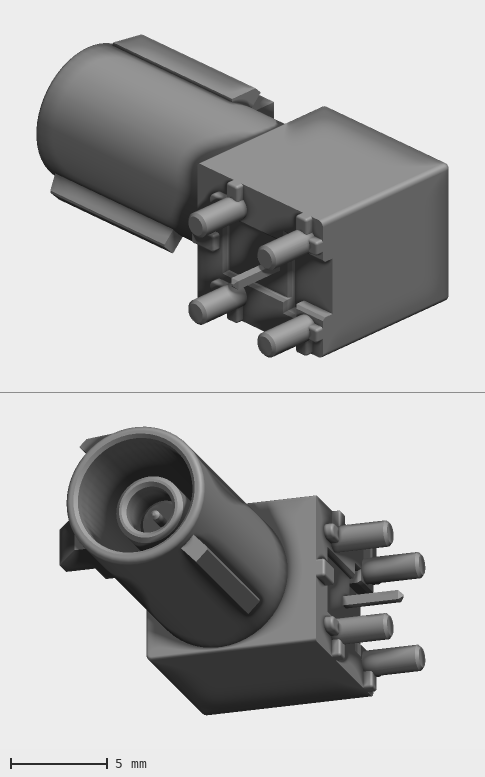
import cadquery as cq
import math

TOTAL_LENGTH = 22.8
TOTAL_DEPTH = 14.6
BLOCK_LENGTH = 9.2
BLOCK_START = TOTAL_LENGTH - BLOCK_LENGTH

BLOCK_HEIGHT = 8.0
BLOCK_TOP = BLOCK_HEIGHT / 2
BLOCK_BACK = 4.0
MOUNT_FACE = -5.3
BLOCK_ROUND = 0.3
EDGE_ROUND = 0.15

BARREL_RADIUS = 3.76
BARREL_ROUND = 0.3
BORE_RADIUS = 3.12
BORE_LEAD = 0.18
BORE_DEPTH = 12.31
INSERT_RADIUS = 1.82
INSERT_BEVEL = 0.23
INSERT_START = 2.28
INSERT_HOLE_RADIUS = 1.25
INSERT_HOLE_LEAD = 0.2
PLUG_START = 4.55
PLUG_BEVEL = 0.18
CONTACT_RADIUS = 0.25
CONTACT_BEVEL = 0.15
CONTACT_START = 3.2

LATCH_WIDTH = 1.95
LATCH_START = 4.51
LATCH_CREST_START = 6.45
LATCH_CREST_END = 7.5
LATCH_END = 9.19
LATCH_FRONT_Y = 4.79
LATCH_CREST_Y = 6.25
LATCH_REAR_Y = 4.65

KEY_END = 9.46
KEY_FRONT_ROOT = 0.78
KEY_FRONT_CREST = 1.1
KEY_CREST_RADIUS = 4.75
UPPER_KEY_TOP = 3.75
UPPER_KEY_INNER_Y = 1.28
LOWER_KEY_HALF_WIDTH = 0.48
LOWER_KEY_FLAT_Y = -3.63
UPPER_KEY_TURN = -45
LOWER_KEY_TURN = UPPER_KEY_TURN + 180

PIN_PITCH = 5.08
PIN_RADIUS = 0.68
PIN_BEVEL = 0.15
PIN_TIP = LATCH_CREST_Y - TOTAL_DEPTH
SIGNAL_X = 19.08
SIGNAL_WIDTH = 0.5
SIGNAL_TIP = -8.19
SIGNAL_BEVEL = 0.194

RIB_HEIGHT = 0.48
RIB_WIDTH = 0.8
SLOT_RIB_START = 14.89
STUB_RIB_LENGTH = 1.62
STUB_RIB_WIDTH = 0.98

RECESS_BEVEL = 0.15
POCKET_START = 15.44
POCKET_HALF_HEIGHT = 1.78
POCKET_DEPTH = 0.32
CHANNEL_START = 19.88
CHANNEL_DEPTH = 0.7
CROSS_END = 20.86
CROSS_HALF_HEIGHT = 2.42

pin_xs = [SIGNAL_X - PIN_PITCH / 2, SIGNAL_X + PIN_PITCH / 2]
pin_zs = [-PIN_PITCH / 2, PIN_PITCH / 2]


def mount_plane(depth=0.0):
    """Workplane on the -Y face, sunk by depth; its local axes are X and Z, its normal is -Y."""
    return cq.Workplane("XZ", origin=(0, MOUNT_FACE + depth, 0))


def rod(radius, start, end):
    """Cylinder on the barrel axis between two X stations."""
    return cq.Workplane("YZ").workplane(offset=start).circle(radius).extrude(end - start)


def make_block():
    """Rounded housing whose -Y edges stay sharp."""
    block = cq.Workplane("XY").box(
        BLOCK_LENGTH, BLOCK_BACK - MOUNT_FACE, BLOCK_HEIGHT, centered=(False, False, True)
    ).translate((BLOCK_START, MOUNT_FACE, 0))
    rounded = block.edges("(>X and >Y) or (>X and |Y) or (>Y and |X)").fillet(BLOCK_ROUND)
    return rounded.edges("<X and (not <Y)").fillet(EDGE_ROUND)


def make_key(profile, turn):
    """Bar of the given Y-Z profile whose front end slopes back away from the barrel.

    The turn about X, in degrees, carries +Z onto the radial direction of the key.
    """
    bar = cq.Workplane("YZ").polyline(profile).close().extrude(KEY_END)
    slope = (KEY_FRONT_CREST - KEY_FRONT_ROOT) / (KEY_CREST_RADIUS - BARREL_RADIUS)
    reach = 2 * BARREL_RADIUS
    axis_x = KEY_FRONT_ROOT - slope * BARREL_RADIUS
    envelope = (
        cq.Workplane("XZ")
        .polyline([(axis_x, 0), (KEY_END, 0), (KEY_END, reach), (axis_x + slope * reach, reach)])
        .close()
        .extrude(reach, both=True)
        .rotate((0, 0, 0), (1, 0, 0), turn)
    )
    return bar.intersect(envelope)


def make_keys():
    """Two keys on the +Y+Z and -Y-Z diagonals; their roots run into the barrel wall."""
    diagonal = math.sqrt(2)
    corner = KEY_CREST_RADIUS / diagonal
    upper = make_key(
        [
            (UPPER_KEY_INNER_Y, UPPER_KEY_INNER_Y),
            (corner, corner),
            (2 * corner - UPPER_KEY_TOP, UPPER_KEY_TOP),
            (UPPER_KEY_INNER_Y, UPPER_KEY_TOP),
        ],
        UPPER_KEY_TURN,
    )
    side = LOWER_KEY_HALF_WIDTH / diagonal
    lower = make_key(
        [
            (side, -side),
            (side - corner, -side - corner),
            (LOWER_KEY_FLAT_Y, -2 * corner - LOWER_KEY_FLAT_Y),
            (LOWER_KEY_FLAT_Y, LOWER_KEY_FLAT_Y + 2 * side),
            (-side, side),
        ],
        LOWER_KEY_TURN,
    )
    return upper.union(lower)


def make_latch():
    outline = [
        (LATCH_START, 0),
        (LATCH_START, LATCH_FRONT_Y),
        (LATCH_CREST_START, LATCH_CREST_Y),
        (LATCH_CREST_END, LATCH_CREST_Y),
        (LATCH_CREST_END, LATCH_REAR_Y),
        (LATCH_END, LATCH_REAR_Y),
        (LATCH_END, 0),
    ]
    return cq.Workplane("XY").polyline(outline).close().extrude(LATCH_WIDTH / 2, both=True)


def lead_in(radius, depth, start):
    """Conical cutter that widens the mouth of a hole by its own depth."""
    return cq.Workplane("YZ").workplane(offset=start).circle(radius + depth).extrude(depth, taper=45)


def make_bore():
    return rod(BORE_RADIUS, 0, BORE_DEPTH).union(lead_in(BORE_RADIUS, BORE_LEAD, 0))


def make_insert():
    """Inner sleeve, closed by a recessed plug that carries the centre contact."""
    sleeve = rod(INSERT_RADIUS, INSERT_START, BORE_DEPTH).faces("<X").chamfer(INSERT_BEVEL)
    hole = rod(INSERT_HOLE_RADIUS, INSERT_START, BORE_DEPTH)
    hole = hole.union(lead_in(INSERT_HOLE_RADIUS, INSERT_HOLE_LEAD, INSERT_START))
    plug = rod(INSERT_HOLE_RADIUS, PLUG_START, BORE_DEPTH).faces("<X").chamfer(PLUG_BEVEL)
    contact = rod(CONTACT_RADIUS, CONTACT_START, BORE_DEPTH).faces("<X").chamfer(CONTACT_BEVEL)
    return sleeve.cut(hole).union(plug).union(contact)


def sunken(x_start, x_end, half_height, depth):
    """Cutter for a rectangular recess with a bevelled rim."""
    length = x_end - x_start
    width = 2 * half_height
    centre = mount_plane().center((x_start + x_end) / 2, 0)
    rim = centre.rect(length, width).extrude(-RECESS_BEVEL, taper=45)
    well = centre.rect(length - 2 * RECESS_BEVEL, width - 2 * RECESS_BEVEL).extrude(-depth)
    return rim.union(well)


def make_recess():
    """Shallow pocket stepping down to a deeper channel that opens through the +X end."""
    open_end = TOTAL_LENGTH + 2 * RECESS_BEVEL
    pocket_end = CHANNEL_START + 2 * RECESS_BEVEL
    pocket = sunken(POCKET_START, pocket_end, POCKET_HALF_HEIGHT, POCKET_DEPTH)
    channel = sunken(CHANNEL_START, open_end, POCKET_HALF_HEIGHT, CHANNEL_DEPTH)
    cross_slot = sunken(CHANNEL_START, CROSS_END, CROSS_HALF_HEIGHT, CHANNEL_DEPTH)
    floor_y = MOUNT_FACE + POCKET_DEPTH
    wall_x = CHANNEL_START + RECESS_BEVEL
    step_bevel = (
        cq.Workplane("XY")
        .polyline([(CHANNEL_START, floor_y), (wall_x, floor_y), (wall_x, floor_y + RECESS_BEVEL)])
        .close()
        .extrude(POCKET_HALF_HEIGHT - RECESS_BEVEL, both=True)
    )
    return pocket.union(channel).union(cross_slot).union(step_bevel)


def make_rib(x_start, x_end, z_start, z_end):
    """Straight standoff rib with rounded edges."""
    bar = (
        mount_plane()
        .center((x_start + x_end) / 2, (z_start + z_end) / 2)
        .rect(x_end - x_start, abs(z_end - z_start))
        .extrude(RIB_HEIGHT)
    )
    return bar.edges("<Y or |Y").fillet(EDGE_ROUND)


def make_slot_rib(x_start, x_end, z):
    """Standoff rib with round ends and a rounded top edge."""
    bar = (
        mount_plane()
        .center((x_start + x_end) / 2, z)
        .slot2D(x_end - x_start, RIB_WIDTH)
        .extrude(RIB_HEIGHT)
    )
    return bar.faces("<Y").edges().fillet(EDGE_ROUND)


def make_ribs():
    half = RIB_WIDTH / 2
    ribs = make_rib(BLOCK_START, BLOCK_START + STUB_RIB_LENGTH, -STUB_RIB_WIDTH / 2, STUB_RIB_WIDTH / 2)
    for z in pin_zs:
        edge_z = math.copysign(BLOCK_TOP, z)
        for x in pin_xs:
            ribs = ribs.union(make_rib(x - half, x + half, z, edge_z))
        ribs = ribs.union(make_slot_rib(SLOT_RIB_START, pin_xs[0], z))
        ribs = ribs.union(make_rib(pin_xs[1], TOTAL_LENGTH, z - half, z + half))
    return ribs


def make_pins():
    spots = [(x, z) for x in pin_xs for z in pin_zs]
    mounts = mount_plane().pushPoints(spots).circle(PIN_RADIUS).extrude(MOUNT_FACE - PIN_TIP)
    mounts = mounts.faces("<Y").chamfer(PIN_BEVEL)
    signal = (
        mount_plane(POCKET_DEPTH)
        .center(SIGNAL_X, 0)
        .rect(SIGNAL_WIDTH, SIGNAL_WIDTH)
        .extrude(MOUNT_FACE + POCKET_DEPTH - SIGNAL_TIP)
        .faces("<Y")
        .chamfer(SIGNAL_BEVEL)
    )
    return mounts.union(signal)


barrel = rod(BARREL_RADIUS, 0, BLOCK_START).faces("<X").edges().fillet(BARREL_ROUND)
barrel = barrel.union(make_keys()).union(make_latch()).cut(make_bore()).union(make_insert())
housing = make_block().cut(make_recess())
result = housing.union(barrel).union(make_ribs()).union(make_pins())